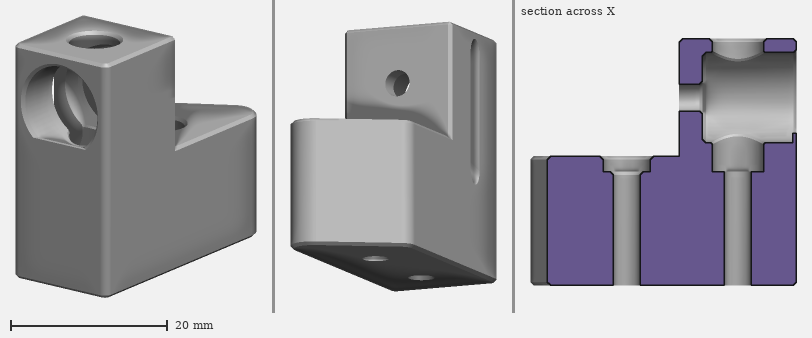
import cadquery as cq
import math

width = 15.0
length = 34
height = 31.5
base_height = 16.5
tower_depth = width
half_width = width / 2
edge_chamfer = 0.4
step_overlap = 3.4

front_corner_radius = 1.0
nose_radius = 3.0
shoulder_radius = 2.0
nose_angle = math.radians(30)

screw_diameter = 3.4
tower_hole_diameter = 6.5
tower_hole_y = tower_depth / 2
base_hole_diameter = 6.0
base_hole_y = 21.7
counterbore_floor = 14.52

bore_diameter = 11.5
bore_depth = 12.0
bore_z = 23.98
lip_z = 19.5
lip_thickness = 0.5
crossing_chamfer = 0.2
crossing_span = 1.2

slot_width = 2.8
slot_bottom = 11.53
slot_top = 30.45


def plan_outline():
    """Footprint with a slanted, rounded nose at the back."""
    nose_x = half_width - nose_radius
    nose_y = length - nose_radius
    slope_top_y = nose_y + nose_radius / math.cos(nose_angle)
    left_y = slope_top_y - (half_width + nose_x) * math.tan(nose_angle)
    right_y = slope_top_y + nose_radius * math.tan(nose_angle)
    return [(-half_width, 0), (half_width, 0), (half_width, right_y), (-half_width, left_y)]


def block(bottom, top, depth):
    """Full-width block running back from the front face."""
    return cq.Workplane("XY", origin=(0, 0, bottom)).box(width, depth, top - bottom, (True, False, False))


def make_body():
    """Base with a square tower at the front, chamfered top and bottom."""
    body = cq.Workplane("XY").polyline(plan_outline()).close().extrude(height)
    body = body.edges("|Z and <Y").fillet(front_corner_radius)
    nose_corner, shoulder_corner = plan_outline()[2:]
    for corner, radius in ((nose_corner, nose_radius), (shoulder_corner, shoulder_radius)):
        corner_edge = cq.selectors.NearestToPointSelector((*corner, height / 2))
        body = body.edges(corner_edge).fillet(radius)
    base = body.intersect(block(0, base_height, length))
    base = base.faces("<Z or >Z").chamfer(edge_chamfer)
    tower = body.intersect(block(base_height - step_overlap, height, tower_depth))
    tower = tower.faces(">Z or >Y").edges().chamfer(edge_chamfer)
    return base.union(tower)


def cone_cut(plane, diameter):
    """Conical edge break that narrows to the given diameter."""
    radius = diameter / 2
    cone = cq.Solid.makeCone(radius + edge_chamfer, radius, edge_chamfer, plane.origin, plane.zDir)
    return cq.Workplane(cone)


def hole(plane, diameter, depth):
    """Round hole with a chamfered mouth, cut along the plane normal."""
    return cq.Workplane(plane).circle(diameter / 2).extrude(depth).union(cone_cut(plane, diameter))


def down_plane(y, z):
    """Plane facing down, on the middle of the part."""
    return cq.Plane((0, y, z), xDir=(1, 0, 0), normal=(0, 0, -1))


def inward_plane(y):
    """Plane facing back along the bore axis."""
    return cq.Plane((0, y, bore_z), xDir=(1, 0, 0), normal=(0, 1, 0))


def make_bore():
    """Blind bore with a chamfered floor, less the lip at its mouth."""
    bore = hole(inward_plane(0), bore_diameter, bore_depth)
    bore = bore.faces(">Y").edges().chamfer(edge_chamfer)
    lip = block(0, lip_z, lip_thickness)
    return bore.cut(lip)


def break_crossing_edges(body):
    """Chamfer the two curved edges where the tower hole enters and leaves the bore."""
    reach = tower_hole_diameter / 2 + crossing_chamfer
    for edge_z in (bore_z - bore_diameter / 2, bore_z + bore_diameter / 2):
        near_corner = (-reach, tower_hole_y - reach, edge_z - crossing_span)
        far_corner = (reach, tower_hole_y + reach, edge_z + crossing_span)
        crossing = cq.selectors.BoxSelector(near_corner, far_corner, boundingbox=True)
        body = body.edges(crossing).chamfer(crossing_chamfer)
    return body


def make_slot():
    """Side slot made of a tapered slab and two slanted round ends."""
    radius = slot_width / 2
    axis_inset = radius * math.sqrt(2)
    low = slot_bottom + axis_inset
    high = slot_top - axis_inset
    middle = (low + high) / 2
    reach = (high - low) / 2
    outside = -half_width - slot_width
    profile = [
        (outside, low - slot_width),
        (-half_width + reach, middle),
        (outside, high + slot_width),
    ]
    slot = cq.Workplane("XZ", origin=(0, tower_hole_y, 0)).polyline(profile).close().extrude(radius, both=True)
    run = (reach + slot_width) * math.sqrt(2)
    for z, rise in ((low - slot_width, 1), (high + slot_width, -1)):
        end = cq.Solid.makeCylinder(radius, run, cq.Vector(outside, tower_hole_y, z), cq.Vector(1, 0, rise))
        slot = slot.union(cq.Workplane(end))
    limit = cq.Workplane("XY").box(2 * width, 2 * length, 2 * height).translate((-width, 0, 0))
    return slot.intersect(limit)


result = make_body()
result = result.cut(make_bore())
result = result.cut(hole(inward_plane(bore_depth), screw_diameter, tower_depth - bore_depth))

result = result.cut(hole(down_plane(tower_hole_y, height), tower_hole_diameter, height - counterbore_floor))
result = break_crossing_edges(result)
result = result.cut(cq.Workplane("XY").center(0, tower_hole_y).circle(screw_diameter / 2).extrude(height))

result = result.cut(hole(down_plane(base_hole_y, base_height), base_hole_diameter, base_height - counterbore_floor))
result = result.cut(hole(down_plane(base_hole_y, counterbore_floor), screw_diameter, counterbore_floor))

result = result.cut(make_slot())